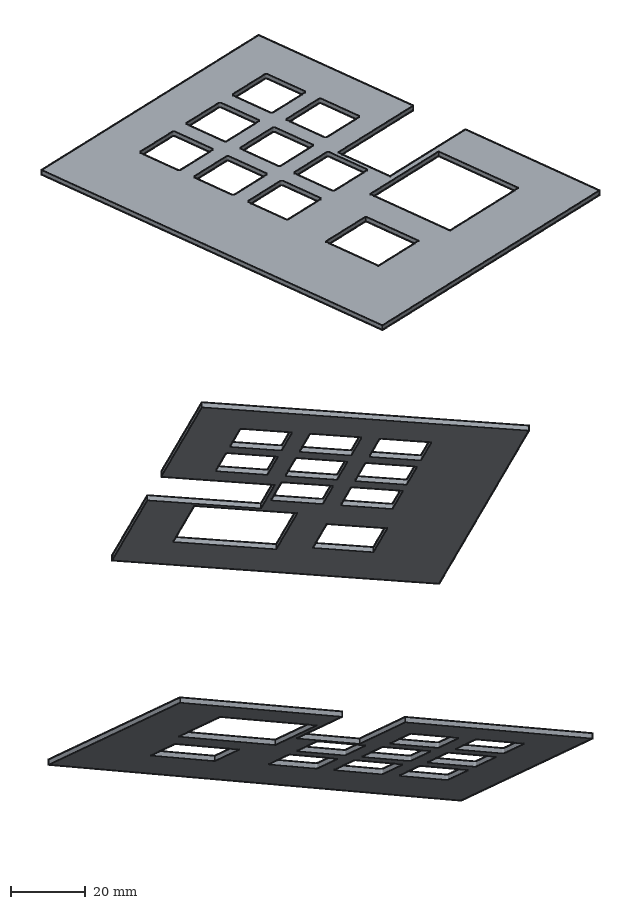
import cadquery as cq

PLATE_WIDTH = 120.0
PLATE_DEPTH = 89.26
PLATE_THICKNESS = 1.5

KEY_SIZE = 14.1
KEY_PITCH = 19.0
KEY_CORNER_RADIUS = 0.5
FIRST_KEY_X = 21.15
FIRST_KEY_Y = 30.8
KEYS_PER_ROW = (3, 3, 2)

NOTCH_LEFT = 54.5
NOTCH_WIDTH = 18.3
NOTCH_LENGTH = 31.0

LARGE_WINDOW_SIZE = 28.1
LARGE_WINDOW_LEFT = 74.6
LARGE_WINDOW_BOTTOM = 48.0

SMALL_WINDOW_WIDTH = 18.6
SMALL_WINDOW_DEPTH = 16.5
SMALL_WINDOW_LEFT = 81.1
SMALL_WINDOW_BOTTOM = 22.1


def block(left, bottom, width, depth):
    """Rectangular block, as thick as the plate, placed by its lower left corner."""
    return cq.Workplane("XY").box(width, depth, PLATE_THICKNESS, centered=False).translate((left, bottom, 0))


def key_cutter(column, row):
    """Square with slightly rounded corners for one key of the grid."""
    left = FIRST_KEY_X + column * KEY_PITCH - KEY_SIZE / 2
    bottom = FIRST_KEY_Y + row * KEY_PITCH - KEY_SIZE / 2
    return block(left, bottom, KEY_SIZE, KEY_SIZE).edges("|Z").fillet(KEY_CORNER_RADIUS)


plate = block(0, 0, PLATE_WIDTH, PLATE_DEPTH)

for row, key_count in enumerate(KEYS_PER_ROW):
    for column in range(key_count):
        plate = plate.cut(key_cutter(column, row))

notch = block(NOTCH_LEFT, PLATE_DEPTH - NOTCH_LENGTH, NOTCH_WIDTH, NOTCH_LENGTH)
large_window = block(LARGE_WINDOW_LEFT, LARGE_WINDOW_BOTTOM, LARGE_WINDOW_SIZE, LARGE_WINDOW_SIZE)
small_window = block(SMALL_WINDOW_LEFT, SMALL_WINDOW_BOTTOM, SMALL_WINDOW_WIDTH, SMALL_WINDOW_DEPTH)

result = plate.cut(notch).cut(large_window).cut(small_window)